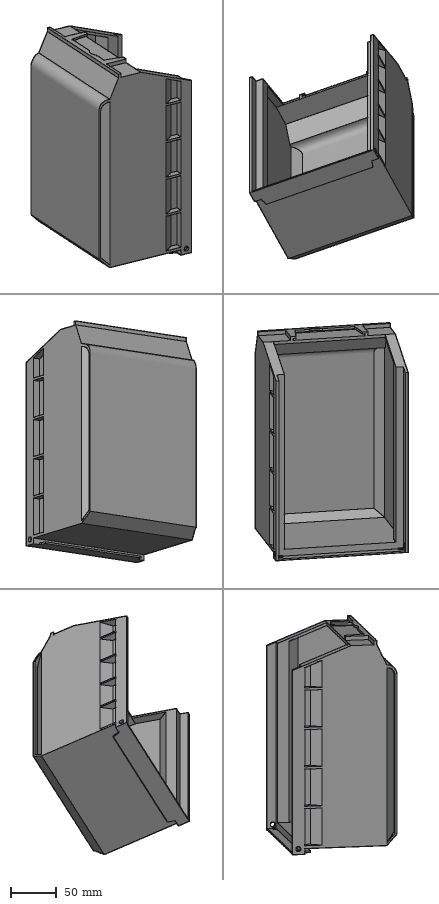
import cadquery as cq
import math


WIDTH = 148.2
DEPTH = 117.0
HEIGHT = 235.2
WALL = 3.3

BACK_Z = 6.3
FRONT_Z = 230.7
FRONT_INNER_Y = 52.0
FRONT_OUTER_Y = 23.0
RIM_TOP_Z = 205.5
BACK_BEVEL_Z = 18.0

FOOT_Y = 12.0
FOOT_TOP_Z = 207.7
FOOT_INSET = 3.0
FOOT_EDGE_Y = 2.0
FOOT_BORDER = 3.3

RIM_Y = 103.5
SHELF_WIDTH = 3.5
RIM_BACK_Y = 116.6
RIM_FLOOR = 1.9
PAD_LENGTH = 5.9
PAD_WIDTH = 3.3
PAD_HEIGHT = 1.2
PAD_Y = 109.4
HOLE_DIAMETER = 5.5
HOLE_Y = 110.5
HOLE_Z = 6.0

GROOVE_DEPTH = 8.2
GROOVE_FLAT_Y = 95.7
GROOVE_Y = 84.5
CELL_COUNT = 5
CELL_PITCH = 44.0
CELL_LENGTH = 41.5
GROOVE_ROOF = 2.8

TAB_Y = 95.0
TAB_THICKNESS = 1.9
TAB_INSET = 8.0
TAB_TAPER = 2.4

RIDGE_Y = 26.5
CORNER_WIDTH = 30.8
LABEL_Y = 29.6
LABEL_DEPTH = 2.4
SLOT_INSET = 33.9
SLOT_Y = 25.6
LABEL_INSET_OPEN = 37.0
LABEL_INSET_CLOSED = 41.0
NOTCH_X = 84.2
NOTCH_HALF_WIDTH = 7.3
NOTCH_DEPTH = 2.4

MID_X = WIDTH / 2
FOOT_RADIUS = FOOT_Y
FOOT_PANEL_INSET = FOOT_Y - FOOT_EDGE_Y
FOOT_ARC_Z = FOOT_TOP_Z - FOOT_RADIUS
OPENING_INSET = GROOVE_DEPTH + WALL
SHELF_Y = RIM_Y + SHELF_WIDTH
RIM_SLOPE = (FRONT_Z - RIM_TOP_Z) / (DEPTH - FRONT_INNER_Y)


def slope_z(y, drop=0.0):
    """Height of the sloping top edge of the sides at a given Y, lowered by drop."""
    return RIM_TOP_Z + RIM_SLOPE * (DEPTH - y) - drop


def arc_middle(radius, center_z=FOOT_ARC_Z):
    """Middle of a rounded foot edge, an arc ending square to the floor and to the front."""
    reach = radius * math.sqrt(0.5)
    return (FOOT_Y - reach, center_z + reach)


def along_x(sketch, x0, x1):
    return sketch.extrude(x1 - x0).translate((x0, 0, 0))


def plan_prism(points, z0, z1):
    return cq.Workplane("XY").workplane(offset=z0).polyline(points).close().extrude(z1 - z0)


def block(x0, x1, y0, y1, z0, z1):
    return cq.Workplane("XY").box(x1 - x0, y1 - y0, z1 - z0, centered=False).translate((x0, y0, z0))


def mirrored(half):
    """Joins points on the left side with their mirror image on the right."""
    return half + [(WIDTH - x, y) for x, y in reversed(half)]


def both_sides(solid):
    return solid.union(solid.mirror("YZ", (MID_X, 0, 0)))


def outer_body():
    side = (
        cq.Workplane("YZ")
        .moveTo(0, BACK_BEVEL_Z)
        .lineTo(FOOT_Y, BACK_Z)
        .lineTo(RIM_Y, BACK_Z)
        .lineTo(RIM_Y, 0)
        .lineTo(DEPTH, 0)
        .lineTo(DEPTH, RIM_TOP_Z)
        .lineTo(FRONT_INNER_Y, FRONT_Z)
        .lineTo(FRONT_INNER_Y, HEIGHT)
        .lineTo(FRONT_OUTER_Y, HEIGHT)
        .lineTo(FRONT_OUTER_Y, FRONT_Z)
        .lineTo(FOOT_Y, FOOT_TOP_Z)
        .threePointArc(arc_middle(FOOT_RADIUS), (0, FOOT_ARC_Z))
        .close()
    )
    plan = mirrored([
        (FOOT_INSET, 0),
        (FOOT_INSET, FOOT_EDGE_Y),
        (0, FOOT_Y),
        (0, DEPTH),
    ])
    return along_x(side, 0, WIDTH).intersect(plan_prism(plan, 0, HEIGHT))


def foot_side_panels():
    """Recesses at 45 degrees beside the foot, behind a border at its front, back and floor edges."""
    radius = FOOT_Y - FOOT_EDGE_Y
    top_z = FOOT_TOP_Z - FOOT_BORDER
    bottom_z = BACK_Z + FOOT_BORDER
    panel = (
        cq.Workplane("YZ")
        .moveTo(FOOT_EDGE_Y, top_z - radius)
        .threePointArc(arc_middle(radius, top_z - radius), (FOOT_Y, top_z))
        .lineTo(FOOT_Y, bottom_z)
        .lineTo(FOOT_EDGE_Y, bottom_z + radius)
        .close()
    )
    taper = [(0, FOOT_Y), (0, FOOT_EDGE_Y), (FOOT_PANEL_INSET, FOOT_EDGE_Y)]
    return both_sides(along_x(panel, 0, FOOT_PANEL_INSET).intersect(plan_prism(taper, 0, HEIGHT)))


def cavity():
    """Inside of the bin, about one wall thickness within the outer faces, with its narrower mouth."""
    side = (
        cq.Workplane("YZ")
        .moveTo(WALL, BACK_BEVEL_Z)
        .lineTo(FOOT_Y, BACK_Z + WALL)
        .lineTo(SHELF_Y, BACK_Z + WALL)
        .lineTo(SHELF_Y, slope_z(SHELF_Y, WALL))
        .lineTo(FRONT_INNER_Y, FRONT_Z - WALL)
        .lineTo(FRONT_OUTER_Y + WALL, FRONT_Z - WALL)
        .lineTo(FOOT_Y + WALL, FOOT_TOP_Z - WALL)
        .lineTo(FOOT_Y, FOOT_TOP_Z - WALL)
        .threePointArc(arc_middle(FOOT_RADIUS - WALL), (WALL, FOOT_ARC_Z))
        .close()
    )
    plan = mirrored([
        (FOOT_PANEL_INSET + WALL, WALL),
        (WALL, FOOT_Y),
        (WALL, GROOVE_Y - WALL / 2),
        (OPENING_INSET, GROOVE_FLAT_Y - WALL / 2),
        (OPENING_INSET, SHELF_Y),
    ])
    inside = along_x(side, 0, WIDTH).intersect(plan_prism(plan, 0, HEIGHT))
    mouth = block(
        OPENING_INSET, WIDTH - OPENING_INSET, FRONT_INNER_Y, SHELF_Y, HEIGHT / 2, HEIGHT
    )
    return inside.union(mouth)


def rim_opening():
    recess = block(WALL, WIDTH - WALL, SHELF_Y, DEPTH, RIM_FLOOR, HEIGHT)
    back_edge = block(WALL, WIDTH - WALL, RIM_BACK_Y, DEPTH, 0, HEIGHT)
    return recess.union(back_edge)


def rim_pads():
    y0 = PAD_Y - PAD_WIDTH / 2
    return both_sides(block(WALL, WALL + PAD_LENGTH, y0, y0 + PAD_WIDTH, 0, RIM_FLOOR + PAD_HEIGHT))


def side_grooves():
    """Cells of the grooves; the material left between them forms the ribs."""
    plan = [(0, RIM_Y), (GROOVE_DEPTH, RIM_Y), (GROOVE_DEPTH, GROOVE_FLAT_Y), (0, GROOVE_Y)]
    roof = along_x(
        cq.Workplane("YZ").polyline([
            (GROOVE_Y, 0),
            (RIM_Y, 0),
            (RIM_Y, slope_z(RIM_Y, GROOVE_ROOF)),
            (GROOVE_Y, slope_z(GROOVE_Y, GROOVE_ROOF)),
        ]).close(),
        0, GROOVE_DEPTH,
    )
    cells = cq.Workplane("XY")
    for index in range(CELL_COUNT):
        bottom = BACK_Z + WALL + index * CELL_PITCH
        cells = cells.union(plan_prism(plan, bottom, bottom + CELL_LENGTH))
    return both_sides(cells.intersect(roof))


def hanging_tab():
    plan = mirrored([(TAB_INSET + TAB_TAPER, TAB_Y), (TAB_INSET, RIM_Y)])
    return plan_prism(plan, 0, TAB_THICKNESS)


def front_recesses():
    corners = both_sides(block(0, CORNER_WIDTH, RIDGE_Y, FRONT_INNER_Y, FRONT_Z, HEIGHT))
    label = (
        cq.Workplane("XY")
        .workplane(offset=HEIGHT - LABEL_DEPTH)
        .moveTo(LABEL_INSET_OPEN, FRONT_INNER_Y)
        .lineTo(LABEL_INSET_CLOSED, LABEL_Y)
        .lineTo(NOTCH_X - NOTCH_HALF_WIDTH, LABEL_Y)
        .threePointArc((NOTCH_X, LABEL_Y - NOTCH_DEPTH), (NOTCH_X + NOTCH_HALF_WIDTH, LABEL_Y))
        .lineTo(WIDTH - LABEL_INSET_CLOSED, LABEL_Y)
        .lineTo(WIDTH - LABEL_INSET_OPEN, FRONT_INNER_Y)
        .close()
        .extrude(LABEL_DEPTH)
    )
    card_slot = block(
        SLOT_INSET, WIDTH - SLOT_INSET, SLOT_Y, FRONT_INNER_Y, FRONT_Z, HEIGHT - LABEL_DEPTH
    )
    return corners.union(label).union(card_slot)


def pin_holes():
    hole = cq.Workplane("YZ").center(HOLE_Y, HOLE_Z).circle(HOLE_DIAMETER / 2)
    return along_x(hole, 0, WIDTH)


result = (
    outer_body()
    .cut(foot_side_panels())
    .cut(cavity())
    .cut(rim_opening())
    .union(rim_pads())
    .cut(side_grooves())
    .union(hanging_tab())
    .cut(front_recesses())
    .cut(pin_holes())
)